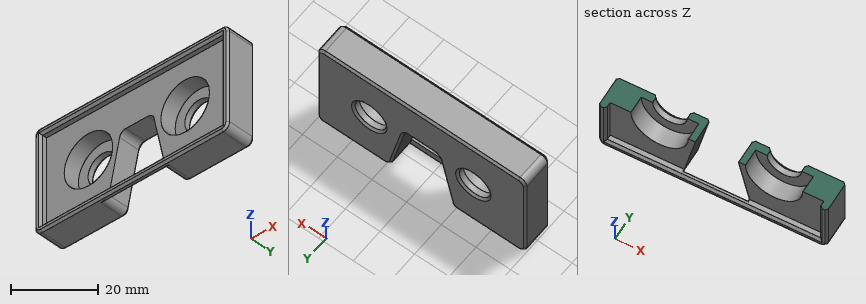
import cadquery as cq
import math

LENGTH = 60.0
DEPTH = 9.0
HEIGHT = 30.0
CORNER_RADIUS = 2.0
EDGE_CHAMFER = 0.6

WALL_THICKNESS = 2.05
MOUTH_CHAMFER = 0.65
RECESS_DEPTH = 2.0

HOLE_SPACING = 30.0
HOLE_DIAMETER = 9.0
COUNTERBORE_DIAMETER = 15.0
COUNTERBORE_DEPTH = 4.8

LIP_THICKNESS = 1.4
WINDOW_TOP = 3.0
WINDOW_TOP_WIDTH = 9.95
WINDOW_BOTTOM_WIDTH = 17.05
WINDOW_CORNER_RADIUS = 2.0

FRONT = -DEPTH / 2
FLOOR = FRONT + RECESS_DEPTH
UNDERSIDE = -HEIGHT / 2
RECESS_BOTTOM = UNDERSIDE + WALL_THICKNESS


def plane_facing_back(y):
    """Sketch plane at the given Y, with its normal along +Y and local Y along Z."""
    return cq.Workplane(cq.Plane(origin=(0, y, 0), xDir=(-1, 0, 0), normal=(0, 1, 0)))


def make_block():
    block = cq.Workplane("XY").box(LENGTH, DEPTH, HEIGHT)
    block = block.edges("|Y").fillet(CORNER_RADIUS)
    return block.faces("<Y").edges().chamfer(EDGE_CHAMFER)


def make_recess():
    length = LENGTH - 2 * WALL_THICKNESS
    height = HEIGHT - 2 * WALL_THICKNESS
    pocket = plane_facing_back(FRONT).rect(length, height).extrude(RECESS_DEPTH)
    mouth = (
        plane_facing_back(FRONT)
        .rect(length + 2 * MOUTH_CHAMFER, height + 2 * MOUTH_CHAMFER)
        .workplane(offset=MOUTH_CHAMFER)
        .rect(length, height)
        .loft(ruled=True)
    )
    return pocket.union(mouth)


def make_hole_pair(start, diameter, depth):
    centers = [(-HOLE_SPACING / 2, 0), (HOLE_SPACING / 2, 0)]
    return plane_facing_back(start).pushPoints(centers).circle(diameter / 2).extrude(depth)


def cut_window(body):
    side_slope = (WINDOW_BOTTOM_WIDTH - WINDOW_TOP_WIDTH) / 2 / (WINDOW_TOP - RECESS_BOTTOM)
    top_x = WINDOW_TOP_WIDTH / 2
    bottom_x = top_x + side_slope * (WINDOW_TOP - UNDERSIDE)
    outline = [(-bottom_x, UNDERSIDE), (bottom_x, UNDERSIDE), (top_x, WINDOW_TOP), (-top_x, WINDOW_TOP)]
    window = plane_facing_back(FRONT + LIP_THICKNESS).polyline(outline).close().extrude(DEPTH - LIP_THICKNESS)
    window = window.edges("|Y and >Z").fillet(WINDOW_CORNER_RADIUS)
    window = window.union(make_flare(bottom_x, side_slope))
    return body.cut(window)


def make_flare(edge_x, side_slope):
    """Rounds the two lower corners where the window sides meet the underside."""
    side_angle = math.atan(side_slope)
    tangent_length = WINDOW_CORNER_RADIUS * math.tan(math.pi / 4 - side_angle / 2)
    side_point = (
        edge_x - tangent_length * math.sin(side_angle),
        UNDERSIDE + tangent_length * math.cos(side_angle),
    )
    base_point = (edge_x + tangent_length, UNDERSIDE)
    center = (base_point[0], UNDERSIDE + WINDOW_CORNER_RADIUS)
    mid_angle = (math.pi + side_angle + 3 * math.pi / 2) / 2
    arc_point = (
        center[0] + WINDOW_CORNER_RADIUS * math.cos(mid_angle),
        center[1] + WINDOW_CORNER_RADIUS * math.sin(mid_angle),
    )
    flare = (
        plane_facing_back(FRONT + LIP_THICKNESS)
        .moveTo(edge_x, UNDERSIDE)
        .lineTo(*side_point)
        .threePointArc(arc_point, base_point)
        .close()
        .extrude(DEPTH - LIP_THICKNESS)
    )
    return flare.union(flare.mirror("YZ"))


body = (
    make_block()
    .cut(make_recess())
    .cut(make_hole_pair(FLOOR, COUNTERBORE_DIAMETER, COUNTERBORE_DEPTH))
    .cut(make_hole_pair(FRONT, HOLE_DIAMETER, DEPTH))
)

result = cut_window(body).faces(">Y").edges().chamfer(EDGE_CHAMFER)